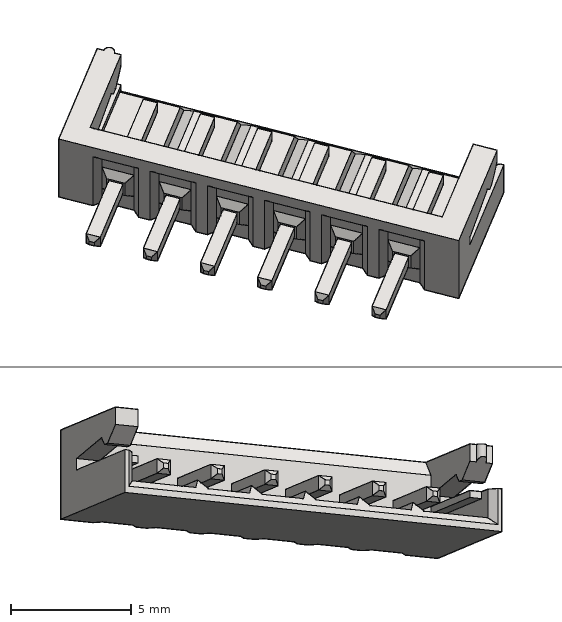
import cadquery as cq

WIDTH = 17.5
DEPTH = 6.0
HEIGHT = 3.8

PIN_COUNT = 6
PITCH = 2.5
PIN_SIZE = 0.62
PIN_Z = 1.6
PIN_FRONT = -3.2
PIN_BACK = 4.8
PIN_TIP_LENGTH = 0.2
PIN_TIP_SIZE = PIN_SIZE - 2 * PIN_TIP_LENGTH

ARM_THICKNESS = 1.05
ARM_END = 5.12
BUMP_RADIUS = 0.23
OPENING_WIDTH = WIDTH - 2 * ARM_THICKNESS
WALL_TOP_Y = 1.0
WALL_BEVEL_Z = 3.15
SLOT_FRONT = 1.5
SLOT_FLOOR = 1.82
SLOT_FRONT_Z = 2.3
HOOK_NOTCH_Y = 3.82
HOOK_NOTCH_Z = 2.74
HOOK_INNER_Y = 4.1
HOOK_OUTER_Y = 4.4
HOOK_BOTTOM = 2.4
HOOK_TIP_Z = 3.27

RECESS_WALL = 0.5
RECESS_FLOOR = 0.6
LEAD_IN = 0.32
RIDGE_WIDTH = 0.6
RIDGE_HEIGHT = 0.43
SHELF_THICKNESS = 0.3
SHELF_BOTTOM = SLOT_FLOOR - SHELF_THICKNESS

POCKET_WIDTH = 2.0
POCKET_TOP = 3.2
POCKET_DEPTH = 0.3
COLLAR_TIP_SIZE = 0.8

pin_xs = [(i - (PIN_COUNT - 1) / 2) * PITCH for i in range(PIN_COUNT)]
ridge_xs = [x + PITCH / 2 for x in pin_xs[:-1]]


def box(x_range, y_range, z_range):
    """Box given by its limits along each axis."""
    sizes = [high - low for low, high in (x_range, y_range, z_range)]
    corner = (x_range[0], y_range[0], z_range[0])
    return cq.Workplane("XY").box(*sizes, centered=False).translate(corner)


def extrude_along_x(points, width):
    """Closed (y, z) outline extruded symmetrically about X = 0."""
    return cq.Workplane("YZ").polyline(points).close().extrude(width / 2, both=True)


def frustum(x, z, y_start, size_start, y_end, size_end):
    """Square frustum along Y, centred on the pin axis at (x, z)."""
    return (
        cq.Workplane("XZ", origin=(x, y_start, z))
        .rect(size_start, size_start)
        .workplane(offset=y_start - y_end)
        .rect(size_end, size_end)
        .loft(ruled=True)
    )


def make_housing():
    """Base, front wall and hooked latch arms; only the -X arm has a bump on its end."""
    housing = box((-WIDTH / 2, WIDTH / 2), (0, DEPTH), (0, HEIGHT))
    bump = (
        cq.Workplane("XY")
        .center((ARM_THICKNESS - WIDTH) / 2, ARM_END)
        .circle(BUMP_RADIUS)
        .extrude(HEIGHT)
    )
    behind_arms = box(
        (-WIDTH / 2, WIDTH / 2), (ARM_END, DEPTH), (SLOT_FLOOR, HEIGHT)
    ).cut(bump)
    hook_tip_y = ARM_END + BUMP_RADIUS
    latch_slot = extrude_along_x(
        [
            (SLOT_FRONT, SLOT_FLOOR),
            (SLOT_FRONT, SLOT_FRONT_Z),
            (HOOK_NOTCH_Y, HOOK_NOTCH_Z),
            (HOOK_INNER_Y, HOOK_BOTTOM),
            (HOOK_OUTER_Y, HOOK_BOTTOM),
            (hook_tip_y, HOOK_TIP_Z),
            (DEPTH, HOOK_TIP_Z),
            (DEPTH, SLOT_FLOOR),
        ],
        WIDTH,
    )
    window = extrude_along_x(
        [
            (SLOT_FRONT, SLOT_FLOOR),
            (SLOT_FRONT, WALL_BEVEL_Z),
            (WALL_TOP_Y, HEIGHT),
            (DEPTH, HEIGHT),
            (DEPTH, SLOT_FLOOR),
        ],
        OPENING_WIDTH,
    )
    return housing.cut(behind_arms).cut(latch_slot).cut(window)


def make_ridge(x):
    """Triangular ridge standing on the recess floor."""
    half = RIDGE_WIDTH / 2
    return (
        cq.Workplane("XZ", origin=(x, SLOT_FRONT, RECESS_FLOOR))
        .polyline([(-half, 0), (0, RIDGE_HEIGHT), (half, 0)])
        .close()
        .extrude(SLOT_FRONT - DEPTH)
    )


def make_recess():
    """Cavity between the end walls, leaving floor ridges and shelves under the arms."""
    half = WIDTH / 2 - RECESS_WALL
    below_shelves = box((-half, half), (SLOT_FRONT, DEPTH), (RECESS_FLOOR, SHELF_BOTTOM))
    between_shelves = box(
        (-OPENING_WIDTH / 2, OPENING_WIDTH / 2), (SLOT_FRONT, DEPTH), (SHELF_BOTTOM, SLOT_FLOOR)
    )
    behind_shelves = box((-half, half), (ARM_END, DEPTH), (SHELF_BOTTOM, SLOT_FLOOR))
    recess = below_shelves.union(between_shelves).union(behind_shelves)
    for x in ridge_xs:
        recess = recess.cut(make_ridge(x))
    return recess


def make_lead_in():
    """45 degree chamfer at the back of the recess floor, ridges and side walls."""
    half_back = WIDTH / 2 - RECESS_WALL + LEAD_IN
    bottom = RECESS_FLOOR - LEAD_IN
    reach = SLOT_FLOOR - bottom
    floor_slope = extrude_along_x(
        [(DEPTH, bottom), (DEPTH, SLOT_FLOOR), (DEPTH - reach, SLOT_FLOOR)],
        2 * half_back,
    )
    wall_flare = (
        cq.Workplane("XY", origin=(0, 0, bottom))
        .polyline(
            [
                (-half_back, DEPTH),
                (-half_back + reach, DEPTH - reach),
                (half_back - reach, DEPTH - reach),
                (half_back, DEPTH),
            ]
        )
        .close()
        .extrude(reach)
    )
    return floor_slope.intersect(wall_flare)


def make_pocket(x):
    """Tapered front pocket, open at the underside, around a raised collar."""
    floor_width = POCKET_WIDTH - 2 * POCKET_DEPTH
    floor_top = POCKET_TOP - POCKET_DEPTH
    pocket = (
        cq.Workplane("XZ", origin=(x, 0, 0))
        .center(0, POCKET_TOP / 2)
        .rect(POCKET_WIDTH, POCKET_TOP)
        .workplane(offset=-POCKET_DEPTH)
        .center(0, (floor_top - POCKET_TOP) / 2)
        .rect(floor_width, floor_top)
        .loft(ruled=True)
    )
    collar = frustum(x, PIN_Z, POCKET_DEPTH, floor_width, 0, COLLAR_TIP_SIZE)
    return pocket.cut(collar)


def make_pin(x):
    """Square pin with a blunt pyramid at each end."""
    half = PIN_SIZE / 2
    front = PIN_FRONT + PIN_TIP_LENGTH
    back = PIN_BACK - PIN_TIP_LENGTH
    shank = box((x - half, x + half), (front, back), (PIN_Z - half, PIN_Z + half))
    front_tip = frustum(x, PIN_Z, front, PIN_SIZE, PIN_FRONT, PIN_TIP_SIZE)
    back_tip = frustum(x, PIN_Z, back, PIN_SIZE, PIN_BACK, PIN_TIP_SIZE)
    return shank.union(front_tip).union(back_tip)


result = make_housing().cut(make_recess()).cut(make_lead_in())
for pin_x in pin_xs:
    result = result.cut(make_pocket(pin_x))
for pin_x in pin_xs:
    result = result.union(make_pin(pin_x))